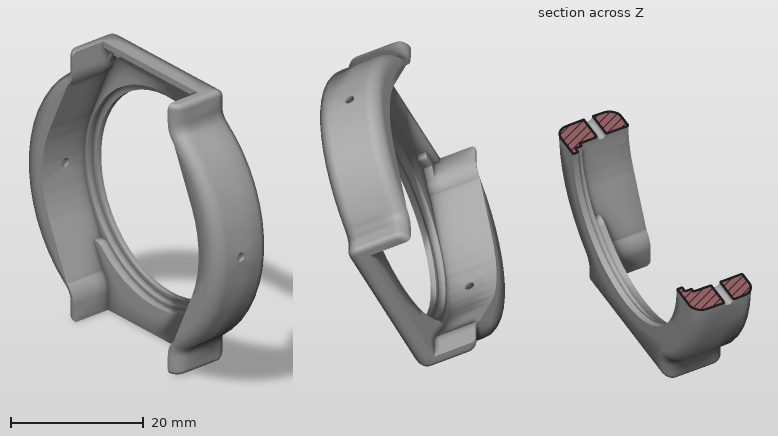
import cadquery as cq
import math

height = 45.8
depth = 10.3
ring_radius = 22.7
edge_round = 2.0
corner_round = 0.82

lug_half_width = 12.9
wall = 1.85
neck_round = 2.0

lip_front = 5.95
pad_level = 6.9
floor_level = 8.3
ledge_level = 9.4

cavity_radius = 18.32
flat_angle = 24.6

seat_radius = 17.7
seat_rise = 0.2
window_radius = 16.7

lip_thickness = 1.0
pad_foot = 18.87
pad_knee_x = 10.2
pad_bottom = 20.75
pad_inner = 8.3
pad_round = 0.55

recess_radius = 18.05
bottom_pad_top = -12.3
bottom_pad_round = 2.0

pin_diameter = 1.5
pin_depth = 4.6

half_height = height / 2
lug_inner = lug_half_width - wall
lip_underside = half_height - lip_thickness
pick_margin = 0.45
beyond = 4.6

neck_x = lug_half_width + neck_round
neck_z = math.sqrt((ring_radius + neck_round) ** 2 - neck_x ** 2)
inner_neck_round = neck_round + wall


def front_plane(y):
    """Workplane at depth y with X to the right, Z up and its normal toward -Y."""
    return cq.Workplane(cq.Plane(origin=(0, y, 0), xDir=(1, 0, 0), normal=(0, -1, 0)))


def block(half_width, y0, y1, z0, z1):
    """Box centred on X."""
    middle = (0, (y0 + y1) / 2, (z0 + z1) / 2)
    return cq.Workplane("XY").box(2 * half_width, y1 - y0, z1 - z0).translate(middle)


def disc(radius, y0, y1, z=0.0):
    """Round cutter along Y, centred on X = 0."""
    return front_plane(y0).center(0, z).circle(radius).extrude(y0 - y1)


def polar(center, radius, angle):
    return center[0] + radius * math.cos(angle), center[1] + radius * math.sin(angle)


def quarters(point):
    """The point in each quarter: upper right, lower right, lower left, upper left."""
    x, z = point
    return [(x, z), (x, -z), (-x, -z), (-x, z)]


def make_body():
    join_angle = math.atan2(neck_z, neck_x)
    bend_angle = math.pi + join_angle / 2
    tip = quarters((lug_half_width, half_height))
    root = quarters((lug_half_width, neck_z))
    bend = quarters(polar((neck_x, neck_z), neck_round, bend_angle))
    join = quarters(polar((0, 0), ring_radius, join_angle))
    outline = (
        front_plane(0)
        .moveTo(*tip[0])
        .lineTo(*root[0])
        .threePointArc(bend[0], join[0])
        .threePointArc((ring_radius, 0), join[1])
        .threePointArc(bend[1], root[1])
        .lineTo(*tip[1])
        .lineTo(*tip[2])
        .lineTo(*root[2])
        .threePointArc(bend[2], join[2])
        .threePointArc((-ring_radius, 0), join[3])
        .threePointArc(bend[3], root[3])
        .lineTo(*tip[3])
        .close()
    )
    body = outline.extrude(-depth)
    body = body.faces("<Y").edges("not |X").fillet(edge_round)
    body = body.faces(">Y").edges().fillet(edge_round)
    return body.edges("|Y and (>Z or <Z)").fillet(corner_round)


def make_cavity(y0, y1):
    """Cavity between the sides, open past both lug ends."""
    normal = math.radians(flat_angle)
    neck = (neck_x, neck_z)
    gap = neck_x * math.cos(normal) + neck_z * math.sin(normal) - cavity_radius
    meet_angle = normal + math.pi + math.acos(gap / inner_neck_round)
    tip = quarters((lug_inner, half_height + beyond))
    root = quarters((lug_inner, neck_z))
    bend = quarters(polar(neck, inner_neck_round, (math.pi + meet_angle) / 2))
    meet = quarters(polar(neck, inner_neck_round, meet_angle))
    tangent = quarters(polar((0, 0), cavity_radius, normal))
    return (
        front_plane(y0)
        .moveTo(*tip[0])
        .lineTo(*root[0])
        .threePointArc(bend[0], meet[0])
        .lineTo(*tangent[0])
        .threePointArc((cavity_radius, 0), tangent[1])
        .lineTo(*meet[1])
        .threePointArc(bend[1], root[1])
        .lineTo(*tip[1])
        .lineTo(*tip[2])
        .lineTo(*root[2])
        .threePointArc(bend[2], meet[2])
        .lineTo(*tangent[2])
        .threePointArc((-cavity_radius, 0), tangent[3])
        .lineTo(*meet[3])
        .threePointArc(bend[3], root[3])
        .lineTo(*tip[3])
        .close()
        .extrude(y0 - y1)
    )


def make_front_cavity():
    """Everything in front of the pads, sparing the lip across the top lug."""
    lip = block(ring_radius, lip_front, depth, lip_underside, half_height + beyond)
    return make_cavity(-beyond, pad_level).cut(lip)


def make_top_recess():
    """Floor recess between the two corner pads behind the lip."""
    foot_x = neck_x - math.sqrt(inner_neck_round ** 2 - (neck_z - pad_foot) ** 2)
    right = [(foot_x, pad_foot), (pad_knee_x, pad_bottom), (pad_inner, pad_bottom), (pad_inner, lip_underside)]
    left = [(-x, z) for x, z in reversed(right)]
    recess = front_plane(pad_level).polyline(right + left).close().extrude(pad_level - floor_level)
    pad_corner = cq.selectors.BoxSelector(
        (-pad_inner - pick_margin, 0, pad_bottom - pick_margin),
        (pad_inner + pick_margin, depth, pad_bottom + pick_margin),
    )
    return recess.edges("|Y").edges(pad_corner).fillet(pad_round)


def make_floor_recess():
    """Recess from the pads down to the floor."""
    middle = make_cavity(pad_level, floor_level).intersect(
        block(ring_radius, pad_level, floor_level, bottom_pad_top, pad_foot)
    )
    recess = middle.union(disc(recess_radius, pad_level, floor_level))
    pad_end = math.sqrt(recess_radius ** 2 - bottom_pad_top ** 2)
    pad_corner = cq.selectors.BoxSelector(
        (-pad_end - pick_margin, 0, bottom_pad_top - pick_margin),
        (pad_end + pick_margin, depth, bottom_pad_top + pick_margin),
    )
    recess = recess.edges("|Y").edges(pad_corner).fillet(bottom_pad_round)
    return recess.union(make_top_recess())


def make_pin_holes():
    hole = cq.Workplane("YZ").center(pin_depth, 0).circle(pin_diameter / 2)
    return hole.extrude(ring_radius + beyond, both=True)


result = (
    make_body()
    .cut(make_front_cavity())
    .cut(make_floor_recess())
    .cut(disc(seat_radius, pad_level, ledge_level, seat_rise))
    .cut(disc(window_radius, pad_level, depth + beyond))
    .cut(make_pin_holes())
)